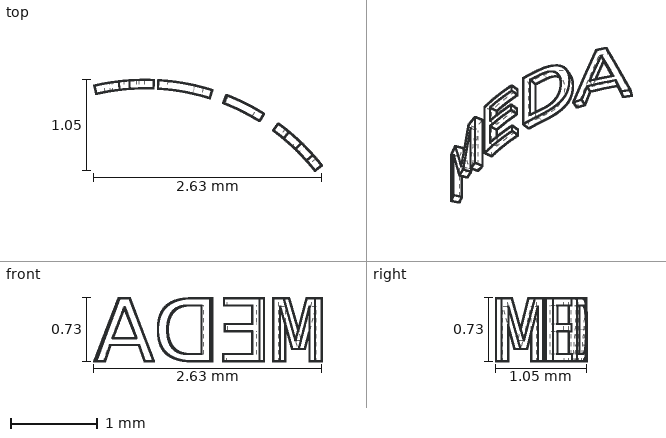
import cadquery as cq
import math


INNER_RADIUS = 2.5
LETTER_DEPTH = 0.1
OUTER_RADIUS = INNER_RADIUS + LETTER_DEPTH
LETTER_HEIGHT = 0.733
STEM = 0.101
BAR = 0.087

A_ANGLE = -5.4
D_ANGLE = 10.38
E_ANGLE = 26.55
M_ANGLE = 44.03

A_WIDTH = 0.669
A_TOP_WIDTH = 0.118
A_FOOT_WIDTH = 0.104
A_CROSSBAR_BOTTOM = 0.19
A_CROSSBAR_TOP = 0.269
A_CROSSBAR_BOTTOM_WIDTH = 0.332
A_WINDOW_WIDTH = 0.275
A_WINDOW_PEAK = 0.629

D_WIDTH = 0.613
D_BOWL_STROKE = 0.108
D_OUTER_STRAIGHT = 0.203
D_INNER_STRAIGHT = 0.272
D_OUTER_FULLNESS = 0.68
D_INNER_FULLNESS = 0.63

E_BOTTOM_WIDTH = 0.471
E_MIDDLE_WIDTH = 0.454
E_TOP_WIDTH = 0.463
E_MIDDLE_BOTTOM = 0.347

M_WIDTH = 0.675
M_SHOULDER = 0.153
M_VERTEX_WIDTH = 0.106
M_VERTEX_BOTTOM = 0.143
M_NOTCH_BOTTOM = 0.241
M_ARMPIT = 0.637

NEAR_PLANE = 0.95 * INNER_RADIUS
FAR_PLANE = 1.05 * OUTER_RADIUS


def projected(point, plane_y):
    """Carry a flat (u, z) point radially out from the axis onto the plane y = plane_y."""
    u, z = point
    return cq.Vector(-plane_y * math.tan(u / INNER_RADIUS), plane_y, z)


def outline_wire(strokes, plane_y):
    """Closed wire on one plane; a stroke has 2 points for a line or 4 for a Bezier curve."""
    edges = []
    for stroke in strokes:
        points = [projected(point, plane_y) for point in stroke]
        if len(points) == 2:
            edges.append(cq.Edge.makeLine(*points))
        else:
            edges.append(cq.Edge.makeBezier(points))
    return cq.Wire.assembleEdges(edges)


def radial_prism(strokes):
    """Solid whose side walls point at the cylinder axis."""
    near = outline_wire(strokes, NEAR_PLANE)
    far = outline_wire(strokes, FAR_PLANE)
    return cq.Workplane(cq.Solid.makeLoft([near, far], True))


def wrapped_letter(outline, angle, window=None):
    """Letter limited to the curved band and turned to its place on the cylinder."""
    prism = radial_prism(outline)
    if window:
        prism = prism.cut(radial_prism(window))
    band = cq.Workplane("XY").circle(OUTER_RADIUS).circle(INNER_RADIUS).extrude(LETTER_HEIGHT)
    return prism.intersect(band).rotate((0, 0, 0), (0, 0, 1), -angle).solids()


def polygon(points):
    """Straight strokes joining the points in a closed loop."""
    return list(zip(points, points[1:] + points[:1]))


def mirrored(right_half):
    """Add the mirror image about u = 0, keeping one continuous loop."""
    return right_half + [(-u, z) for u, z in reversed(right_half)]


def bowl(left, curve_start, right, bottom, top, fullness):
    """D-shaped loop: straight left side, then a bowl made of two quarter curves."""
    middle = (bottom + top) / 2
    handle_u = fullness * (right - curve_start)
    handle_z = fullness * (top - middle)
    lower_start = (curve_start, bottom)
    upper_start = (curve_start, top)
    tip = (right, middle)
    lower_curve = (lower_start, (curve_start + handle_u, bottom), (right, middle - handle_z), tip)
    upper_curve = (tip, (right, middle + handle_z), (curve_start + handle_u, top), upper_start)
    return [
        ((left, bottom), lower_start),
        lower_curve,
        upper_curve,
        (upper_start, (left, top)),
        ((left, top), (left, bottom)),
    ]


def letter_a():
    outline = mirrored([
        (A_CROSSBAR_BOTTOM_WIDTH / 2, A_CROSSBAR_BOTTOM),
        (A_WIDTH / 2 - A_FOOT_WIDTH, 0),
        (A_WIDTH / 2, 0),
        (A_TOP_WIDTH / 2, LETTER_HEIGHT),
    ])
    window = [
        (-A_WINDOW_WIDTH / 2, A_CROSSBAR_TOP),
        (A_WINDOW_WIDTH / 2, A_CROSSBAR_TOP),
        (0, A_WINDOW_PEAK),
    ]
    return wrapped_letter(polygon(outline), A_ANGLE, polygon(window))


def letter_d():
    left = -D_WIDTH / 2
    right = D_WIDTH / 2
    outline = bowl(left, left + D_OUTER_STRAIGHT, right, 0, LETTER_HEIGHT, D_OUTER_FULLNESS)
    window = bowl(
        left + STEM,
        left + D_INNER_STRAIGHT,
        right - D_BOWL_STROKE,
        BAR,
        LETTER_HEIGHT - BAR,
        D_INNER_FULLNESS,
    )
    return wrapped_letter(outline, D_ANGLE, window)


def letter_e():
    left = -E_BOTTOM_WIDTH / 2
    stem_right = left + STEM
    outline = [(left, LETTER_HEIGHT), (left, 0)]
    bars = [
        (0, E_BOTTOM_WIDTH),
        (E_MIDDLE_BOTTOM, E_MIDDLE_WIDTH),
        (LETTER_HEIGHT - BAR, E_TOP_WIDTH),
    ]
    for bar_bottom, bar_width in bars:
        bar_right = left + bar_width
        bar_top = bar_bottom + BAR
        if bar_bottom > 0:
            outline.append((stem_right, bar_bottom))
        outline += [(bar_right, bar_bottom), (bar_right, bar_top)]
        if bar_top < LETTER_HEIGHT:
            outline.append((stem_right, bar_top))
    return wrapped_letter(polygon(outline), E_ANGLE)


def letter_m():
    stem_inside = M_WIDTH / 2 - STEM
    right_half = [
        (M_WIDTH / 2 - M_SHOULDER, LETTER_HEIGHT),
        (M_WIDTH / 2, LETTER_HEIGHT),
        (M_WIDTH / 2, 0),
        (stem_inside, 0),
        (stem_inside, M_ARMPIT),
        (M_VERTEX_WIDTH / 2, M_VERTEX_BOTTOM),
    ]
    notch = (0, M_NOTCH_BOTTOM)
    return wrapped_letter(polygon(mirrored(right_half) + [notch]), M_ANGLE)


result = cq.Compound.makeCompound([
    letter_a().val(),
    letter_d().val(),
    letter_e().val(),
    letter_m().val(),
])